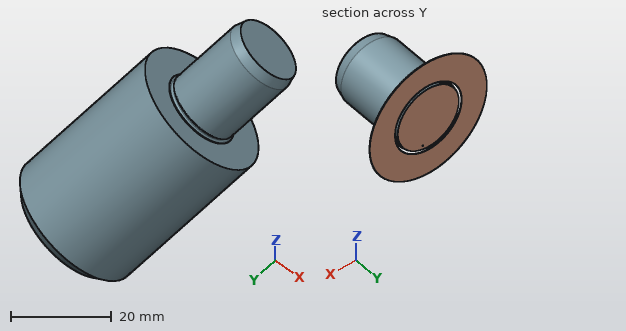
import cadquery as cq
import math

total_length = 60.0
body_radius = total_length / 4
body_length = total_length * 2 / 3
body_chamfer = 2.4

pin_radius = total_length * 2 / 15
tip_radius = 7.3
tip_length = 2.4

neck_radius = pin_radius - 0.3
neck_length = 0.7
recess_radius = pin_radius + 0.5
recess_depth = 0.2
groove_fillet = 0.35

tip_y = -total_length / 2
back_y = total_length / 2
shoulder_y = back_y - body_length
neck_y = shoulder_y - neck_length
recess_y = shoulder_y + recess_depth

fillet_inset = groove_fillet * (1 - math.sqrt(0.5))
fillet_middle = (neck_radius + fillet_inset, recess_y - fillet_inset)

half_profile = (
    cq.Workplane("XY")
    .moveTo(0, tip_y)
    .lineTo(tip_radius, tip_y)
    .lineTo(pin_radius, tip_y + tip_length)
    .lineTo(pin_radius, neck_y)
    .lineTo(neck_radius, neck_y)
    .lineTo(neck_radius, recess_y - groove_fillet)
    .threePointArc(fillet_middle, (neck_radius + groove_fillet, recess_y))
    .lineTo(recess_radius, recess_y)
    .lineTo(recess_radius, shoulder_y)
    .lineTo(body_radius, shoulder_y)
    .lineTo(body_radius, back_y - body_chamfer)
    .lineTo(body_radius - body_chamfer, back_y)
    .lineTo(0, back_y)
    .close()
)

result = half_profile.revolve(360, (0, 0, 0), (0, 1, 0))